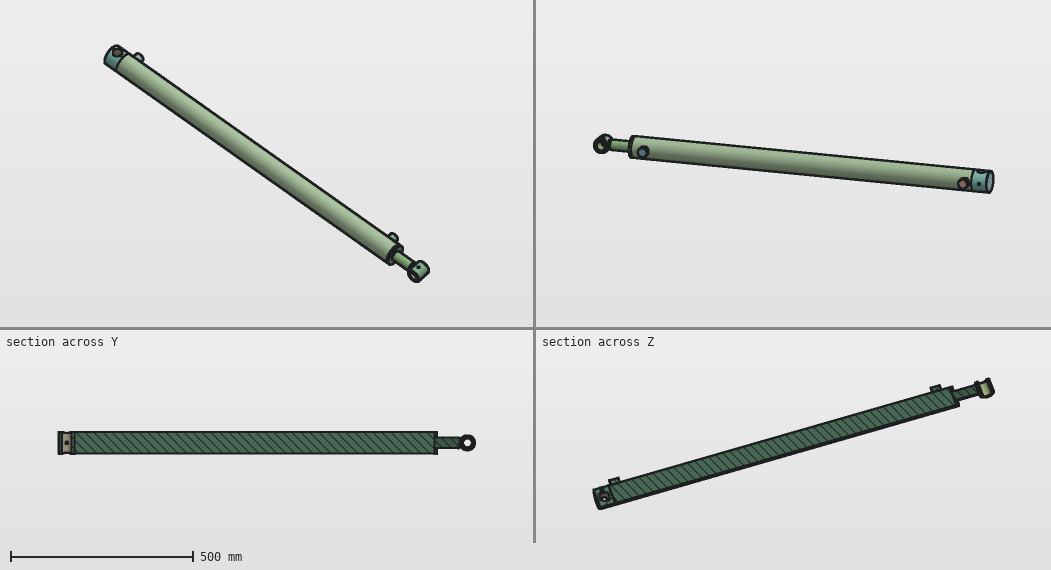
import cadquery as cq

total_length = 1142.0
barrel_diameter = 60.0

cap_length = 45.0
pin_hole_diameter = 26.0
grease_hole_diameter = 6.0
cap_chamfer = 1.0

gland_end = 1038.0
gland_length = 7.0

port_diameter = 26.0
port_height = 15.0
port_from_cap = 19.0
port_from_gland = 38.0

rod_diameter = 30.0
rod_end = 1100.0
rod_chamfer = 2.0
eye_diameter = 41.0
eye_width = 45.0
eye_chamfer = 1.7
bushing_bore = 25.0
bushing_wall = 1.7

neck_diameter = rod_diameter - 2 * rod_chamfer
bushing_diameter = bushing_bore + 2 * bushing_wall
barrel_radius = barrel_diameter / 2
gland_start = gland_end - gland_length
cap_hole_x = cap_length / 2
eye_x = total_length - eye_diameter / 2
port_places = [cap_length + port_from_cap, gland_start - port_from_gland]


def cylinder_along_x(diameter, start, end):
    """Solid cylinder on the main axis between two X places."""
    return cq.Workplane("YZ", origin=(start, 0, 0)).circle(diameter / 2).extrude(end - start)


def cylinder_along_y(diameter, x, start, end):
    """Solid cylinder parallel to Y, in the plane Z = 0."""
    return cq.Workplane("XZ", origin=(x, start, 0)).circle(diameter / 2).extrude(start - end)


def make_base_cap():
    """End cap with a chamfered outer end, a vertical pin hole and a grease hole reaching it from +Y."""
    cap = cylinder_along_x(barrel_diameter, 0, cap_length)
    pin_hole = (
        cq.Workplane("XY", origin=(cap_hole_x, 0, -barrel_radius))
        .circle(pin_hole_diameter / 2)
        .extrude(barrel_diameter)
    )
    grease_hole = cylinder_along_y(grease_hole_diameter, cap_hole_x, 0, barrel_radius)
    cap = cap.faces("<X").chamfer(cap_chamfer)
    return cap.cut(pin_hole).cut(grease_hole)


def make_barrel():
    """Plain round body between the base cap and the gland."""
    return cylinder_along_x(barrel_diameter, cap_length, gland_start)


def make_gland():
    """Ring that closes the barrel around the rod."""
    ring = cylinder_along_x(barrel_diameter, gland_start, gland_end)
    return ring.cut(cylinder_along_x(rod_diameter, gland_start, gland_end))


def make_port(x, barrel):
    """Round boss whose foot is shaped to sit on the barrel."""
    boss = cylinder_along_y(port_diameter, x, 0, barrel_radius + port_height)
    return boss.cut(barrel)


def cylinder_across_eye(diameter):
    """Solid cylinder on the eye's axis, as long as the eye is wide."""
    return cylinder_along_y(diameter, eye_x, -eye_width / 2, eye_width / 2)


def make_grease_hole_in_eye():
    """Vertical drill from the middle of the eye out through its top."""
    return (
        cq.Workplane("XY", origin=(eye_x, 0, 0))
        .circle(grease_hole_diameter / 2)
        .extrude(eye_diameter / 2)
    )


def make_eye():
    """Cross tube with chamfered ends, bored for the bushing, with a grease hole from the top."""
    tube = cylinder_across_eye(eye_diameter).faces("<Y or >Y").chamfer(eye_chamfer)
    return tube.cut(cylinder_across_eye(bushing_diameter)).cut(make_grease_hole_in_eye())


def make_bushing():
    """Thin sleeve lining the eye, with the pin bore; the grease hole runs on through its wall."""
    sleeve = cylinder_across_eye(bushing_diameter).cut(cylinder_across_eye(bushing_bore))
    return sleeve.cut(make_grease_hole_in_eye())


def make_rod():
    """Rod from the barrel end, chamfered down to a short neck that is shaped to meet the eye."""
    rod = cylinder_along_x(rod_diameter, gland_start, rod_end).faces(">X").chamfer(rod_chamfer)
    neck = cylinder_along_x(neck_diameter, rod_end, eye_x)
    return rod.union(neck).cut(cylinder_across_eye(eye_diameter))


base_cap = make_base_cap()
barrel = make_barrel()
gland = make_gland()
ports = [make_port(x, barrel) for x in port_places]
rod = make_rod()
eye = make_eye()
bushing = make_bushing()

bodies = [base_cap, barrel, gland, *ports, rod, eye, bushing]
result = cq.Compound.makeCompound([body.val() for body in bodies])